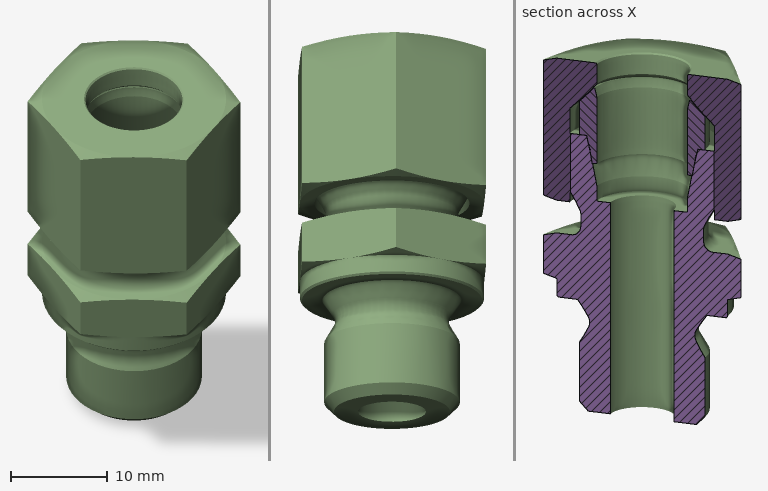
import cadquery as cq
import math


across_flats = 19.0
across_corners = across_flats / math.cos(math.radians(30))
hex_chamfer_angle = math.radians(15)

flange_bottom = 12.0
hex_bottom = 14.0
hex_top = 19.0
nut_bottom = 22.5
body_top = 30.0
nut_top = 38.0

flow_radius = 7.0 / 2
tube_radius = 10.0 / 2
tube_stop = body_top - 7.0
seat_mouth_radius = 12.3 / 2
seat_slope = math.tan(math.radians(12))
seat_bottom = body_top - (seat_mouth_radius - tube_radius) / seat_slope

stud_radius = 14.0 / 2
stud_chamfer = 1.0
flange_radius = across_flats / 2
flange_chamfer = 0.2
shoulder_radius = 14.38 / 2

waist_radius = 5.87
waist_arc_radius = 1.25
waist_level = 9.695
waist_lower_angle = math.radians(30)
waist_upper_angle = math.radians(35)

nut_thread_radius = 16.0 / 2
neck_radius = 13.7 / 2
neck_fillet = 1.0
neck_top = 21.35
runout_angle = math.radians(30)

entry_chamfer = 0.15
nut_cone_top = 35.7
nut_cone_bottom = nut_cone_top - (nut_thread_radius - tube_radius)

ring_top = 35.25
ring_bottom = 27.0
ring_collar_radius = 7.0
ring_mouth_radius = 5.25
ring_mouth_depth = 1.0


def point_on_arc(center, radius, angle):
    """Point on an arc centred outside the profile, with angle 0 facing the axis."""
    return (center[0] - radius * math.cos(angle), center[1] + radius * math.sin(angle))


def revolve(profile):
    """Turn a closed (radius, height) profile around the Z axis."""
    return profile.close().revolve(360, (0, 0, 0), (0, 1, 0))


def chamfered_hex(bottom, top):
    """Hexagonal prism with flats facing X and turned 15 degree chamfers on both ends."""
    prism = (
        cq.Workplane("XY")
        .workplane(offset=bottom)
        .polygon(6, across_corners)
        .extrude(top - bottom)
        .rotate((0, 0, 0), (0, 0, 1), 30)
    )
    outer = across_corners
    inner = across_flats / 2
    drop = (outer - inner) * math.tan(hex_chamfer_angle)
    envelope = revolve(
        cq.Workplane("XZ")
        .moveTo(0, bottom)
        .lineTo(inner, bottom)
        .lineTo(outer, bottom + drop)
        .lineTo(outer, top - drop)
        .lineTo(inner, top)
        .lineTo(0, top)
    )
    return prism.intersect(envelope)


def make_stud():
    """Screw-in thread, waist and flange."""
    center = (waist_radius + waist_arc_radius, waist_level)
    arc_start = point_on_arc(center, waist_arc_radius, -waist_lower_angle)
    arc_middle = point_on_arc(center, waist_arc_radius, 0)
    arc_end = point_on_arc(center, waist_arc_radius, waist_upper_angle)
    stud_top = arc_start[1] - (stud_radius - arc_start[0]) / math.tan(waist_lower_angle)
    return revolve(
        cq.Workplane("XZ")
        .moveTo(0, 0)
        .lineTo(stud_radius - stud_chamfer, 0)
        .lineTo(stud_radius, stud_chamfer)
        .lineTo(stud_radius, stud_top)
        .lineTo(*arc_start)
        .threePointArc(arc_middle, arc_end)
        .lineTo(shoulder_radius, flange_bottom)
        .lineTo(flange_radius - flange_chamfer, flange_bottom)
        .lineTo(flange_radius, flange_bottom + flange_chamfer)
        .lineTo(flange_radius, hex_bottom)
        .lineTo(0, hex_bottom)
    )


def make_nut_thread():
    """Filleted neck, thread runout cone and nut thread above the body hexagon."""
    fillet_center = (neck_radius + neck_fillet, hex_top + neck_fillet)
    fillet_middle = point_on_arc(fillet_center, neck_fillet, math.radians(-45))
    runout_center = (neck_radius + neck_fillet, neck_top)
    runout_middle = point_on_arc(runout_center, neck_fillet, runout_angle / 2)
    runout_start = point_on_arc(runout_center, neck_fillet, runout_angle)
    runout_top = runout_start[1] + (nut_thread_radius - runout_start[0]) / math.tan(runout_angle)
    return revolve(
        cq.Workplane("XZ")
        .moveTo(0, hex_top)
        .lineTo(neck_radius + neck_fillet, hex_top)
        .threePointArc(fillet_middle, (neck_radius, hex_top + neck_fillet))
        .lineTo(neck_radius, neck_top)
        .threePointArc(runout_middle, runout_start)
        .lineTo(nut_thread_radius, runout_top)
        .lineTo(nut_thread_radius, body_top)
        .lineTo(0, body_top)
    )


def make_body_bore():
    """Flow bore, stepped tube socket and conical seat for the cutting ring."""
    return revolve(
        cq.Workplane("XZ")
        .moveTo(0, 0)
        .lineTo(flow_radius, 0)
        .lineTo(flow_radius, tube_stop)
        .lineTo(tube_radius, tube_stop)
        .lineTo(tube_radius, seat_bottom)
        .lineTo(seat_mouth_radius, body_top)
        .lineTo(0, body_top)
    )


def make_body():
    body = make_stud().union(chamfered_hex(hex_bottom, hex_top)).union(make_nut_thread())
    return body.cut(make_body_bore())


def make_nut():
    """Union nut with a thread bore, a 45 degree inner cone and a tube opening."""
    cavity = revolve(
        cq.Workplane("XZ")
        .moveTo(0, nut_bottom)
        .lineTo(nut_thread_radius, nut_bottom)
        .lineTo(nut_thread_radius, nut_cone_bottom)
        .lineTo(tube_radius, nut_cone_top)
        .lineTo(tube_radius, nut_top - entry_chamfer)
        .lineTo(tube_radius + entry_chamfer, nut_top)
        .lineTo(0, nut_top)
    )
    return chamfered_hex(nut_bottom, nut_top).cut(cavity)


def make_cutting_ring():
    """Ring seated in the body cone, with a collar bearing on the body and the nut cone."""
    shoulder_top_radius = tube_radius + nut_cone_top - ring_top
    collar_top = ring_top - (ring_collar_radius - shoulder_top_radius)
    tip_radius = seat_mouth_radius - (body_top - ring_bottom) * seat_slope
    return revolve(
        cq.Workplane("XZ")
        .moveTo(tube_radius, ring_bottom)
        .lineTo(tip_radius, ring_bottom)
        .lineTo(seat_mouth_radius, body_top)
        .lineTo(ring_collar_radius, body_top)
        .lineTo(ring_collar_radius, collar_top)
        .lineTo(shoulder_top_radius, ring_top)
        .lineTo(ring_mouth_radius, ring_top)
        .lineTo(tube_radius, ring_top - ring_mouth_depth)
    )


body = make_body()
cutting_ring = make_cutting_ring()
nut = make_nut()

result = cq.Compound.makeCompound([*body.solids().vals(), cutting_ring.val(), *nut.solids().vals()])